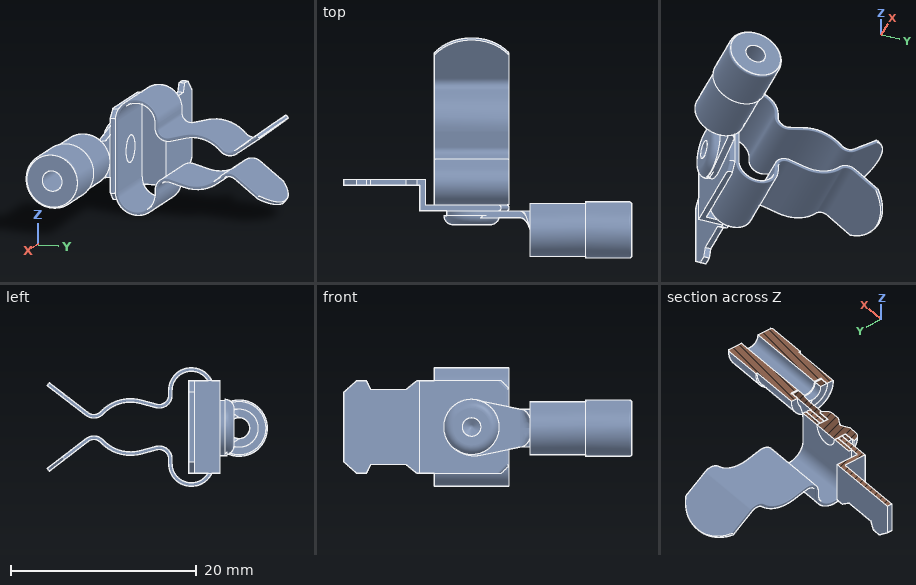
import cadquery as cq
import math


PLATE_THICKNESS = 0.65
PLATE_HALF_HEIGHT = 5.0
PLATE_RIGHT = 4.04
PLATE_CORNER_CHAMFER = 0.85
PLATE_EDGE_ROUND = 0.3
WEB_LEFT = -5.6
TAB_BACK = 3.4
TAB_LEFT = -13.79
TAB_NOSE_CHAMFER_X = 1.4
TAB_NOSE_CHAMFER_Z = 1.25
TAB_EAR_RIGHT = -11.32
NOTCH_LEFT = -10.87
NOTCH_RIGHT = -7.08
NOTCH_DEPTH = 0.95
NOTCH_RAMP_RIGHT = -5.9

CLIP_WIDTH = 8.08
CLIP_HALF_HEIGHT = 6.4
CLIP_THICKNESS = 0.4
CLIP_EDGE_ROUND = 0.1
LOOP_RADIUS = 2.26
VALLEY_RADIUS = 1.2
CREST_RADIUS = 4.2
CREST_Y = 9.66
CREST_Z = 2.87
INNER_SLOPE = math.radians(15)
OUTER_SLOPE = math.radians(47)
FLANK_SLOPE = math.radians(37.5)
TIP_Y = 18.66
TIP_ROUND_LENGTH = 2.07

LUG_X = 0.3
LUG_Z = -0.12
LUG_THICKNESS = 0.75
RING_RADIUS = 3.0
TONGUE_END = 5.25
TONGUE_HALF_WIDTH = 2.05
FLARE_LEAD_IN = 0.3
BARREL_START = 6.28
BARREL_LENGTH = 1.0
BARREL_RADIUS = 2.05
BORE_RADIUS = 1.12

SLEEVE_RADIUS = 2.87
SLEEVE_SEAT_GAP = 0.1
SLEEVE_STEP_X = 12.28
SLEEVE_END = 17.27
COLLAR_RADIUS = 3.05
COLLAR_ROUND = 0.3

RIVET_HEAD_RADIUS = 3.0
RIVET_HEAD_FRONT = -1.5
RIVET_HEAD_ROUND = 1.0
RIVET_SHANK_RADIUS = 1.5
DIMPLE_RADIUS = 1.0
DIMPLE_DEPTH = 0.58

CUT_MARGIN = 1.0

BARREL_Y = -BARREL_RADIUS
SLEEVE_SEAT_DEPTH = BARREL_LENGTH + SLEEVE_SEAT_GAP
CLIP_BASE_INNER = PLATE_THICKNESS + CLIP_THICKNESS


def make_rivet():
    head_back = RIVET_HEAD_FRONT + RIVET_HEAD_ROUND
    flat_radius = RIVET_HEAD_RADIUS - RIVET_HEAD_ROUND
    arc_offset = RIVET_HEAD_ROUND * math.sqrt(0.5)
    return (
        cq.Workplane("XY")
        .moveTo(0, CLIP_BASE_INNER)
        .lineTo(RIVET_SHANK_RADIUS, CLIP_BASE_INNER)
        .lineTo(RIVET_SHANK_RADIUS, head_back)
        .lineTo(RIVET_HEAD_RADIUS, head_back)
        .threePointArc(
            (flat_radius + arc_offset, head_back - arc_offset),
            (flat_radius, RIVET_HEAD_FRONT),
        )
        .lineTo(DIMPLE_RADIUS, RIVET_HEAD_FRONT)
        .lineTo(0, RIVET_HEAD_FRONT + DIMPLE_DEPTH)
        .close()
        .revolve(360, (0, 0, 0), (0, 1, 0))
    )


def make_bracket():
    web_right = WEB_LEFT + PLATE_THICKNESS
    tab_front = TAB_BACK - PLATE_THICKNESS
    bent_sheet = (
        cq.Workplane("XY")
        .polyline([
            (TAB_LEFT, tab_front),
            (WEB_LEFT, tab_front),
            (WEB_LEFT, 0),
            (PLATE_RIGHT, 0),
            (PLATE_RIGHT, PLATE_THICKNESS),
            (web_right, PLATE_THICKNESS),
            (web_right, TAB_BACK),
            (TAB_LEFT, TAB_BACK),
        ])
        .close()
        .extrude(PLATE_HALF_HEIGHT, both=True)
    )
    notch_z = PLATE_HALF_HEIGHT - NOTCH_DEPTH
    upper_edge = [
        (TAB_LEFT, PLATE_HALF_HEIGHT - TAB_NOSE_CHAMFER_Z),
        (TAB_LEFT + TAB_NOSE_CHAMFER_X, PLATE_HALF_HEIGHT),
        (TAB_EAR_RIGHT, PLATE_HALF_HEIGHT),
        (NOTCH_LEFT, notch_z),
        (NOTCH_RIGHT, notch_z),
        (NOTCH_RAMP_RIGHT, PLATE_HALF_HEIGHT),
        (PLATE_RIGHT - PLATE_CORNER_CHAMFER, PLATE_HALF_HEIGHT),
        (PLATE_RIGHT, PLATE_HALF_HEIGHT - PLATE_CORNER_CHAMFER),
    ]
    lower_edge = [(x, -z) for x, z in reversed(upper_edge)]
    outline = (
        cq.Workplane("XZ")
        .polyline(upper_edge + lower_edge)
        .close()
        .extrude(-TAB_BACK)
    )
    end_box = cq.selectors.BoxSelector(
        (PLATE_RIGHT - PLATE_CORNER_CHAMFER, -CUT_MARGIN, -PLATE_HALF_HEIGHT),
        (PLATE_RIGHT + CUT_MARGIN, TAB_BACK, PLATE_HALF_HEIGHT),
    )
    end_edges = end_box - cq.selectors.ParallelDirSelector(cq.Vector(0, 1, 0))
    return bent_sheet.intersect(outline).edges(end_edges).fillet(PLATE_EDGE_ROUND)


def on_circle(center, radius, angle):
    return (center[0] + radius * math.cos(angle), center[1] + radius * math.sin(angle))


def arm_middle_line():
    """Middle of the strip from the middle of its base to the upper tip, in Y and Z."""
    up = math.pi / 2
    half_thickness = CLIP_THICKNESS / 2
    base_y = PLATE_THICKNESS + half_thickness
    loop_top = CLIP_HALF_HEIGHT - half_thickness
    loop = (base_y + LOOP_RADIUS, loop_top - LOOP_RADIUS)
    crest = (CREST_Y, CREST_Z - CREST_RADIUS)

    ramp_high = on_circle(crest, CREST_RADIUS, up + INNER_SLOPE)
    valley_y = loop[0] + LOOP_RADIUS + VALLEY_RADIUS
    ramp_low_y = valley_y + VALLEY_RADIUS * math.sin(INNER_SLOPE)
    ramp_low_z = ramp_high[1] - (ramp_high[0] - ramp_low_y) * math.tan(INNER_SLOPE)
    valley = (valley_y, ramp_low_z + VALLEY_RADIUS * math.cos(INNER_SLOPE))

    throat = on_circle(crest, CREST_RADIUS + VALLEY_RADIUS, up - OUTER_SLOPE)
    flank_low = on_circle(throat, VALLEY_RADIUS, FLANK_SLOPE - up)
    tip_y = TIP_Y - half_thickness * math.sin(FLANK_SLOPE)
    tip = (tip_y, flank_low[1] + (tip_y - flank_low[0]) * math.tan(FLANK_SLOPE))

    line = (
        cq.Workplane("YZ")
        .moveTo(base_y, 0)
        .lineTo(base_y, loop[1])
        .threePointArc((loop[0], loop_top), (loop[0] + LOOP_RADIUS, loop[1]))
        .lineTo(valley_y - VALLEY_RADIUS, valley[1])
        .threePointArc(
            on_circle(valley, VALLEY_RADIUS, -3 * math.pi / 4),
            (ramp_low_y, ramp_low_z),
        )
        .lineTo(*ramp_high)
        .threePointArc((CREST_Y, CREST_Z), on_circle(crest, CREST_RADIUS, up - OUTER_SLOPE))
        .threePointArc((throat[0], throat[1] - VALLEY_RADIUS), flank_low)
        .lineTo(*tip)
    )
    return line, tip


def tip_corners(tip):
    """Waste outside the arc that rounds the flank, across the clip at its tip."""
    flank_plane = cq.Plane(
        origin=(0, *tip),
        xDir=(1, 0, 0),
        normal=(0, -math.sin(FLANK_SLOPE), math.cos(FLANK_SLOPE)),
    )
    half_width = CLIP_WIDTH / 2
    return (
        cq.Workplane(flank_plane)
        .moveTo(-half_width, -TIP_ROUND_LENGTH)
        .threePointArc((0, 0), (half_width, -TIP_ROUND_LENGTH))
        .lineTo(half_width + CUT_MARGIN, -TIP_ROUND_LENGTH)
        .lineTo(half_width + CUT_MARGIN, CUT_MARGIN)
        .lineTo(-half_width - CUT_MARGIN, CUT_MARGIN)
        .lineTo(-half_width - CUT_MARGIN, -TIP_ROUND_LENGTH)
        .close()
        .extrude(CLIP_THICKNESS, both=True)
    )


def make_clip(rivet):
    line, tip = arm_middle_line()
    profile = line.wire().val().offset2D(CLIP_THICKNESS / 2, "intersection")[0]
    arm = (
        cq.Workplane("YZ")
        .add(profile)
        .toPending()
        .extrude(CLIP_WIDTH / 2, both=True)
        .cut(tip_corners(tip))
    )
    arm = arm.faces("<X or >X").edges("not <Z").fillet(CLIP_EDGE_ROUND)
    return arm.union(arm.mirror("XY")).cut(rivet)


def make_lug(rivet):
    reach = TONGUE_END - LUG_X
    end_distance = math.hypot(reach, TONGUE_HALF_WIDTH)
    taper = math.asin(RING_RADIUS / end_distance) - math.atan2(TONGUE_HALF_WIDTH, reach)
    ring_center = (LUG_X, LUG_Z)
    upper_tangent = on_circle(ring_center, RING_RADIUS, math.pi / 2 - taper)
    lower_tangent = on_circle(ring_center, RING_RADIUS, taper - math.pi / 2)
    flat = (
        cq.Workplane("XZ")
        .moveTo(*upper_tangent)
        .threePointArc((LUG_X - RING_RADIUS, LUG_Z), lower_tangent)
        .lineTo(TONGUE_END, LUG_Z - TONGUE_HALF_WIDTH)
        .lineTo(TONGUE_END, LUG_Z + TONGUE_HALF_WIDTH)
        .close()
        .extrude(LUG_THICKNESS)
    )
    barrel = barrel_cylinder(BARREL_START, BARREL_RADIUS, BARREL_LENGTH).cut(
        barrel_cylinder(BARREL_START, BORE_RADIUS, BARREL_LENGTH)
    )
    return flat.union(make_flare()).union(barrel).cut(rivet)


def barrel_cylinder(start_x, radius, length):
    return (
        cq.Workplane("YZ", origin=(start_x, BARREL_Y, LUG_Z))
        .circle(radius)
        .extrude(length)
    )


def flat_half_section(x):
    """Upper half of the tongue's rectangular section."""
    inner = BARREL_RADIUS - LUG_THICKNESS
    return (
        cq.Workplane("YZ", origin=(x, BARREL_Y, LUG_Z))
        .moveTo(BARREL_RADIUS, 0)
        .lineTo(BARREL_RADIUS, TONGUE_HALF_WIDTH)
        .lineTo(inner, TONGUE_HALF_WIDTH)
        .lineTo(inner, 0)
        .close()
        .wire()
        .val()
    )


def curled_half_section(x):
    """Quarter of the barrel's ring section, above its axis and nearest to the plate."""
    center = (0, 0)
    return (
        cq.Workplane("YZ", origin=(x, BARREL_Y, LUG_Z))
        .moveTo(BARREL_RADIUS, 0)
        .threePointArc(on_circle(center, BARREL_RADIUS, math.pi / 4), (0, BARREL_RADIUS))
        .lineTo(0, BORE_RADIUS)
        .threePointArc(on_circle(center, BORE_RADIUS, math.pi / 4), (BORE_RADIUS, 0))
        .close()
        .wire()
        .val()
    )


def make_flare():
    """Tongue end curling down into the half of the barrel nearest to the plate."""
    sections = [
        flat_half_section(TONGUE_END - FLARE_LEAD_IN),
        flat_half_section(TONGUE_END),
        curled_half_section(BARREL_START),
    ]
    half_flare = cq.Workplane(cq.Solid.makeLoft(sections))
    return half_flare.union(half_flare.mirror("XY", (0, 0, LUG_Z)))


def make_sleeve():
    body = barrel_cylinder(BARREL_START, SLEEVE_RADIUS, SLEEVE_END - BARREL_START)
    collar = (
        barrel_cylinder(SLEEVE_STEP_X, COLLAR_RADIUS, SLEEVE_END - SLEEVE_STEP_X)
        .faces(">X")
        .edges()
        .fillet(COLLAR_ROUND)
    )
    wire_bore = barrel_cylinder(BARREL_START, BORE_RADIUS, SLEEVE_END - BARREL_START)
    barrel_seat = barrel_cylinder(BARREL_START, BARREL_RADIUS, SLEEVE_SEAT_DEPTH)
    return body.union(collar).cut(wire_bore).cut(barrel_seat)


rivet = make_rivet()
bracket = make_bracket().cut(rivet)
clip = make_clip(rivet)
lug = make_lug(rivet)
sleeve = make_sleeve()

bodies = [bracket, clip, lug, sleeve, rivet]
result = cq.Compound.makeCompound([body.solids().val() for body in bodies])